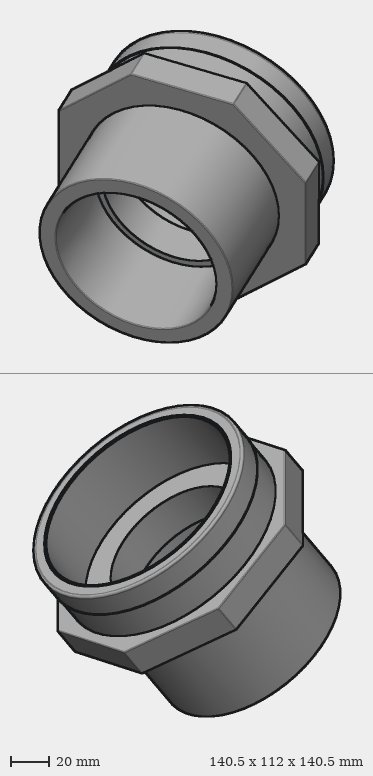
import cadquery as cq
import math

total_length = 112.0

across_flats = 140.5
flange_sides = 8
flange_start = 61.1
flange_thickness = 17.8
flange_edge_radius = 0.49
flange_end = flange_start + flange_thickness

spigot_diameter = 110.0
spigot_edge_radius = 0.49
socket_mouth_diameter = 91.0
socket_edge_radius = 0.49
socket_bottom_diameter = 89.9
socket_depth = 51.0
through_diameter = 82.0

collar_diameter = 129.0
shoulder_radius = 1.5
thread_bore_diameter = 113.0
thread_bore_start = 73.0

ring_diameter = 130.0
ring_length = 14.8
ring_lip_diameter = 115.0
ring_start = total_length - ring_length
ring_wall = (ring_diameter - collar_diameter) / 2
collar_end = total_length - ring_wall


def cylinder(diameter, start, end):
    """Solid cylinder about the Y axis, from Y = start to Y = end."""
    return cq.Workplane("XZ", origin=(0, start, 0)).circle(diameter / 2).extrude(start - end)


def make_flange():
    """Octagonal flange with all its edges slightly rounded."""
    half_side_angle = 180 / flange_sides
    across_corners = across_flats / math.cos(math.radians(half_side_angle))
    plane = cq.Workplane("XZ", origin=(0, flange_start, 0)).transformed(rotate=(0, 0, half_side_angle))
    octagon = plane.polygon(flange_sides, across_corners).extrude(-flange_thickness)
    return octagon.edges().fillet(flange_edge_radius)


def make_spigot():
    """Plain cylinder with a rounded free end, reaching through the flange."""
    spigot = cylinder(spigot_diameter, 0, flange_end)
    return spigot.faces("<Y").edges().fillet(spigot_edge_radius)


def make_collar(start):
    """Cylinder from Y = start to the threaded end, with a rounded end edge."""
    collar = cylinder(collar_diameter, start, collar_end)
    return collar.faces(">Y").edges().fillet(shoulder_radius)


def make_bore():
    """Tapered pipe socket, through hole and thread bore as one cutting shape."""
    profile = [
        (0, 0),
        (socket_mouth_diameter / 2, 0),
        (socket_bottom_diameter / 2, socket_depth),
        (through_diameter / 2, socket_depth),
        (through_diameter / 2, thread_bore_start),
        (thread_bore_diameter / 2, thread_bore_start),
        (thread_bore_diameter / 2, collar_end),
        (0, collar_end),
    ]
    return cq.Workplane("XY").polyline(profile).close().revolve(360, (0, 0, 0), (0, 1, 0))


def make_fitting():
    """One-piece fitting: flange, spigot and collar, bored through, with a rounded socket mouth."""
    outside = make_flange().union(make_spigot()).union(make_collar(flange_start))
    fitting = outside.cut(make_bore())
    socket_mouth = cq.selectors.RadiusNthSelector(0)
    return fitting.faces("<Y").edges(socket_mouth).fillet(socket_edge_radius)


def make_ring():
    """Thin sleeve fitting the collar, with a rounded shoulder and an open lip over the collar's end."""
    outside = cylinder(ring_diameter, ring_start, total_length)
    outside = outside.faces(">Y").edges().fillet(shoulder_radius)
    lip_opening = cylinder(ring_lip_diameter, ring_start, total_length)
    return outside.cut(make_collar(ring_start)).cut(lip_opening)


fitting = make_fitting().solids()
reinforcing_ring = make_ring().solids()

result = cq.Compound.makeCompound([fitting.val(), reinforcing_ring.val()])